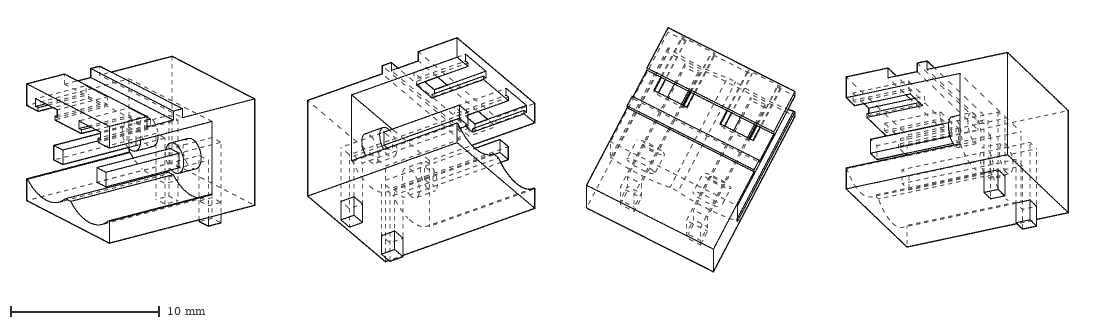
import cadquery as cq

width = 9.6
depth = 12.0
height = 8.45
wall_y = 8.46
floor_z = 1.58
roof_bottom_z = 6.88
roof_top_z = 7.7
lip_depth = 3.12

ridge_front_y = 5.28
ridge_width = 0.75
ridge_height = 0.65

pitch = 5.0
contact_xs = [width / 2 - pitch / 2, width / 2 + pitch / 2]

trough_half_width = 2.2
trough_depth = 0.83

slot_width = 2.5
slot_neck_width = 1.92
slot_neck_height = 0.28
slot_length = 4.14

boss_diameter = 2.11
boss_length = 1.44
pin_size = 1.05
pin_z = 3.82
pin_tip_y = 0.97
pin_back_y = 10.48
tail_length = 1.49


def box(x_center, x_size, y_min, y_max, z_min, z_max):
    """Box centered on x_center that spans the given Y and Z ranges."""
    return (
        cq.Workplane("XY")
        .box(x_size, y_max - y_min, z_max - z_min, centered=(True, False, False))
        .translate((x_center, y_min, z_min))
    )


def make_trough(x):
    """Circular segment cut along the floor, up to the back wall."""
    return (
        cq.Workplane("XZ")
        .moveTo(x - trough_half_width, floor_z)
        .threePointArc((x, floor_z - trough_depth), (x + trough_half_width, floor_z))
        .close()
        .extrude(-wall_y)
    )


def make_t_slot(x):
    """T-slot whose wide part opens through the thin roof behind the lip."""
    neck_top_z = roof_bottom_z + slot_neck_height
    neck = box(x, slot_neck_width, 0, slot_length, roof_bottom_z, neck_top_z)
    head = box(x, slot_width, 0, slot_length, neck_top_z, roof_top_z)
    return neck.union(head)


def make_boss(x):
    """Round collar around a pin on the back wall."""
    return (
        cq.Workplane("XZ", origin=(x, wall_y, pin_z))
        .circle(boss_diameter / 2)
        .extrude(boss_length)
    )


def make_pin(x):
    """L-shaped square pin: contact leg forward, solder tail down."""
    leg_bottom_z = pin_z - pin_size / 2
    leg_top_z = pin_z + pin_size / 2
    leg = box(x, pin_size, pin_tip_y, pin_back_y, leg_bottom_z, leg_top_z)
    tail = box(x, pin_size, pin_back_y - pin_size, pin_back_y, -tail_length, leg_top_z)
    return leg.union(tail).clean()


def make_housing(pins):
    """U-shaped housing, open at the front and on both sides."""
    middle_x = width / 2
    body = box(middle_x, width, 0, depth, 0, roof_top_z)
    body = body.cut(box(middle_x, width, 0, wall_y, floor_z, roof_bottom_z))

    body = body.union(box(middle_x, width, 0, lip_depth, roof_top_z, height))
    ridge_back_y = ridge_front_y + ridge_width
    ridge_top_z = roof_top_z + ridge_height
    body = body.union(box(middle_x, width, ridge_front_y, ridge_back_y, roof_top_z, ridge_top_z))

    for x in contact_xs:
        body = body.cut(make_trough(x))
        body = body.cut(make_t_slot(x))
        body = body.union(make_boss(x))

    for pin in pins:
        body = body.cut(pin)
    return body


pins = [make_pin(x) for x in contact_xs]
housing = make_housing(pins)

result = cq.Compound.makeCompound([housing.val(), *[pin.val() for pin in pins]])